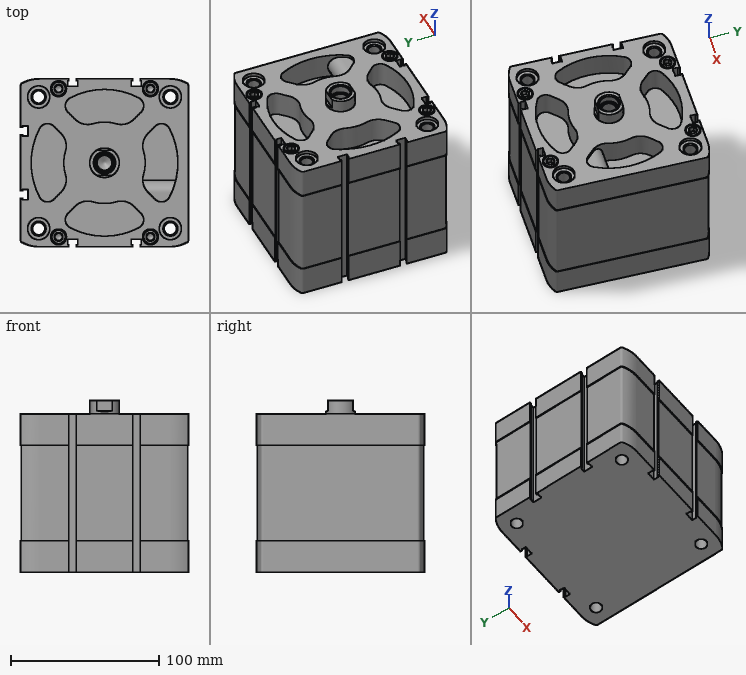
import cadquery as cq
import math

total_height = 116.0
rod_protrusion = 9.0

cap_width = 113.5
cap_half = cap_width / 2
housing_height = total_height - rod_protrusion
cap_height = 21.3
barrel_inset = 0.5
corner_radius = 23.2
corner_edge_radius = 2.0

drill_tip_slope = math.tan(math.radians(31))
socket_tip_slope = math.tan(math.radians(20))
countersink_slope = math.tan(math.radians(30))

mount_offset = 44.4
mount_diameter = 8.4
mount_chamfer_diameter = 10.0
mount_counterbore_diameter = 15.0
mount_counterbore_depth = 2.5

screw_x = 31.0
screw_y = 50.0
screw_bore_diameter = 10.7
screw_head_diameter = 10.1
screw_face_diameter = 9.0
screw_groove_depth = 0.5
socket_width = 5.0
socket_depth = 4.0

groove_offset = 21.5
groove_mouth_width = 5.1
groove_inner_width = 6.6
groove_depth = 5.0
groove_lip = 1.5

pocket_depth = 18.2
pocket_outer_radius = 49.5
pocket_hub_radius = 27.5
web_half_width = 6.7
pocket_end_radius = 6.0
pocket_lobe_radius = 12.0

boss_radius = 8.1
boss_y = -20.0

rod_bottom = housing_height - 2 * cap_height
rod_diameter = 20.0
rod_flats_width = 17.0
rod_flat_height = 7.0
rod_flat_runout = 0.7
rod_mouth_diameter = 15.0
rod_recess_diameter = 13.0
rod_recess_depth = 5.6
rod_thread_diameter = 12.0
rod_drill_diameter = 10.1
rod_drill_depth = 23.2

mount_points = [(sx * mount_offset, sy * mount_offset) for sx in (-1, 1) for sy in (-1, 1)]
screw_points = [(sx * screw_x, sy * screw_y) for sx in (-1, 1) for sy in (-1, 1)]


def revolved(profile):
    """Solid of revolution about Z from (radius, z) points."""
    return cq.Workplane("XZ").polyline(profile).close().revolve(360, (0, 0, 0), (0, 1, 0))


def at_points(shape, points, z):
    """Copies of a shape, moved to each XY point at height z."""
    return [shape.translate((x, y, z)) for x, y in points]


def block(inset, bottom, height):
    """Square block whose arched corners start level with the mounting holes."""
    half = cap_half - inset
    radius = corner_radius - inset
    center_y = half - radius
    reach = half - mount_offset
    end_y = center_y + math.sqrt(radius**2 - reach**2)
    mid_angle = math.asin(reach / radius) / 2
    mid_x = mount_offset + radius * math.sin(mid_angle)
    mid_y = center_y + radius * math.cos(mid_angle)
    return (
        cq.Workplane("XY", origin=(0, 0, bottom))
        .moveTo(-mount_offset, half)
        .lineTo(mount_offset, half)
        .threePointArc((mid_x, mid_y), (half, end_y))
        .lineTo(half, -end_y)
        .threePointArc((mid_x, -mid_y), (mount_offset, -half))
        .lineTo(-mount_offset, -half)
        .threePointArc((-mid_x, -mid_y), (-half, -end_y))
        .lineTo(-half, end_y)
        .threePointArc((-mid_x, mid_y), (-mount_offset, half))
        .close()
        .extrude(height)
        .edges("|Z and (<X or >X)")
        .fillet(corner_edge_radius)
    )


def t_groove():
    """T-groove cutter as tall as the housing, opening through the -Y side at x = 0."""
    mouth = cq.Workplane("XY").box(
        groove_mouth_width, groove_depth, housing_height, centered=(True, False, False))
    inner = cq.Workplane("XY").box(
        groove_inner_width, groove_depth - groove_lip, housing_height, centered=(True, False, False))
    return mouth.union(inner.translate((0, groove_lip, 0))).translate((0, -cap_half, 0))


def blend_center(center_distance, radius):
    """Center of a round that touches the +X+Y web, at a given distance from the axis."""
    across = web_half_width + radius
    along = math.sqrt(center_distance**2 - across**2)
    return ((along - across) / math.sqrt(2), (along + across) / math.sqrt(2))


def kidney_pocket():
    """Cutter for the +Y pocket, mirror-symmetric about the YZ plane."""
    end_distance = pocket_outer_radius - pocket_end_radius
    end_x, end_y = blend_center(end_distance, pocket_end_radius)
    lobe_distance = pocket_hub_radius + pocket_lobe_radius
    lobe_x, lobe_y = blend_center(lobe_distance, pocket_lobe_radius)

    outer_scale = pocket_outer_radius / end_distance
    hub_scale = pocket_hub_radius / lobe_distance
    outer_point = (end_x * outer_scale, end_y * outer_scale)
    hub_point = (lobe_x * hub_scale, lobe_y * hub_scale)
    diagonal = math.sqrt(0.5)
    end_web = (end_x + pocket_end_radius * diagonal, end_y - pocket_end_radius * diagonal)
    lobe_web = (lobe_x + pocket_lobe_radius * diagonal, lobe_y - pocket_lobe_radius * diagonal)
    end_tip = (end_x + pocket_end_radius, end_y)
    lobe_tip = (lobe_x, lobe_y - pocket_lobe_radius)

    def mirrored(point):
        return (-point[0], point[1])

    return (
        cq.Workplane("XY", origin=(0, 0, housing_height - pocket_depth))
        .moveTo(*mirrored(outer_point))
        .threePointArc((0, pocket_outer_radius), outer_point)
        .threePointArc(end_tip, end_web)
        .lineTo(*lobe_web)
        .threePointArc(lobe_tip, hub_point)
        .threePointArc((0, pocket_hub_radius), mirrored(hub_point))
        .threePointArc(mirrored(lobe_tip), mirrored(lobe_web))
        .lineTo(*mirrored(end_web))
        .threePointArc(mirrored(end_tip), mirrored(outer_point))
        .close()
        .extrude(pocket_depth)
    )


def port_boss():
    """Round boss along X resting on the pocket floor, backed by a block up to the pocket end.

    Both run past the pocket on all other sides, where they merge with its walls.
    """
    floor_z = housing_height - pocket_depth
    boss = (
        cq.Workplane("YZ")
        .center(boss_y, floor_z + boss_radius)
        .circle(boss_radius)
        .extrude(cap_half)
    )
    backing = (
        cq.Workplane("XY", origin=(0, boss_y, floor_z))
        .box(cap_half, cap_half, 2 * boss_radius, centered=False)
        .translate((0, -cap_half, 0))
    )
    return boss.union(backing)


def mounting_hole():
    """Through hole with a chamfered mouth under a counterbore, its top at z = 0."""
    hole_r = mount_diameter / 2
    mouth_r = mount_chamfer_diameter / 2
    bore_r = mount_counterbore_diameter / 2
    seat = -mount_counterbore_depth
    return revolved([
        (0, 0), (bore_r, 0), (bore_r, seat), (mouth_r, seat),
        (hole_r, seat - (mouth_r - hole_r)), (hole_r, -housing_height), (0, -housing_height),
    ])


def screw_groove():
    """V-groove between the cap and a chamfered screw head, its top at z = 0."""
    return revolved([
        (screw_face_diameter / 2, 0),
        (screw_bore_diameter / 2, 0),
        (screw_head_diameter / 2, -screw_groove_depth),
    ])


def screw_socket():
    """Hexagon socket with a countersunk mouth and a conical bottom, its top at z = 0."""
    flat_r = socket_width / 2
    half_side_angle = 30
    corner_r = flat_r / math.cos(math.radians(half_side_angle))
    hexagon = cq.Workplane("XY").polygon(6, 2 * corner_r).extrude(-socket_depth)
    hexagon = hexagon.rotate((0, 0, 0), (0, 0, 1), half_side_angle)
    mouth = revolved([(0, 0), (corner_r, 0), (0, -corner_r * countersink_slope)])
    tip = revolved([
        (0, -socket_depth), (flat_r, -socket_depth), (0, -socket_depth - flat_r * socket_tip_slope),
    ])
    return hexagon.union(mouth).union(tip)


def make_housing():
    barrel_height = housing_height - 2 * cap_height
    body = block(0, 0, cap_height)
    body = body.union(block(barrel_inset, cap_height, barrel_height))
    body = body.union(block(0, housing_height - cap_height, cap_height))

    for turn in (0, -90, 180):
        for x in (-groove_offset, groove_offset):
            body = body.cut(t_groove().translate((x, 0, 0)).rotate((0, 0, 0), (0, 0, 1), turn))
    for turn in (0, 90, 180):
        body = body.cut(kidney_pocket().rotate((0, 0, 0), (0, 0, 1), turn))
    body = body.cut(kidney_pocket().rotate((0, 0, 0), (0, 0, 1), -90).cut(port_boss()))
    for hole in at_points(mounting_hole(), mount_points, housing_height):
        body = body.cut(hole)
    for groove in at_points(screw_groove(), screw_points, housing_height):
        body = body.cut(groove)
    for socket in at_points(screw_socket(), screw_points, housing_height):
        body = body.cut(socket)

    rod_bore = (
        cq.Workplane("XY", origin=(0, 0, rod_bottom)).circle(rod_diameter / 2).extrude(total_height)
    )
    return body.cut(rod_bore)


def rod_flat():
    """Cutter for the wrench flat on the +Y side, with a sloped run-out at its foot."""
    flat_y = rod_flats_width / 2
    rim_y = rod_diameter / 2
    foot = total_height - rod_flat_height
    return (
        cq.Workplane("YZ", origin=(-rim_y, 0, 0))
        .polyline([
            (flat_y, total_height),
            (flat_y, foot),
            (rim_y, foot - rod_flat_runout),
            (rim_y, total_height),
        ])
        .close()
        .extrude(rod_diameter)
    )


def rod_hole():
    """Countersunk recess and drilled hole in the end of the rod, its top at z = 0."""
    mouth_r = rod_mouth_diameter / 2
    recess_r = rod_recess_diameter / 2
    thread_r = rod_thread_diameter / 2
    drill_r = rod_drill_diameter / 2
    return revolved([
        (0, 0),
        (mouth_r, 0),
        (recess_r, -(mouth_r - recess_r) * countersink_slope),
        (recess_r, -rod_recess_depth),
        (thread_r, -rod_recess_depth),
        (drill_r, -rod_recess_depth - (thread_r - drill_r) * countersink_slope),
        (drill_r, -rod_drill_depth),
        (0, -rod_drill_depth - drill_r * drill_tip_slope),
    ])


def make_rod():
    rod = (
        cq.Workplane("XY", origin=(0, 0, rod_bottom))
        .circle(rod_diameter / 2)
        .extrude(total_height - rod_bottom)
    )
    for turn in (0, 180):
        rod = rod.cut(rod_flat().rotate((0, 0, 0), (0, 0, 1), turn))
    return rod.cut(rod_hole().translate((0, 0, total_height)))


housing = make_housing()
rod = make_rod()
result = cq.Compound.makeCompound([housing.val(), rod.val()])